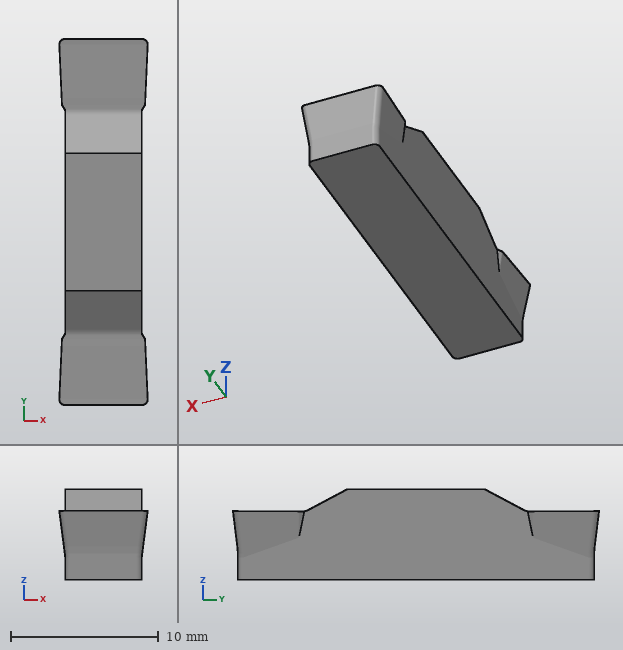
import cadquery as cq
import math

total_length = 24.81
total_height = 6.14
body_width = 5.2
corner_radius = 0.4

head_width = 6.0
rim_height = 4.68
side_relief = math.tan(math.radians(7.0))
side_back_taper = math.tan(math.radians(2.5))
front_relief = math.tan(math.radians(7.0))
lower_front_relief = math.tan(math.radians(4.8))
relief_break_height = 2.26
relief_end_height = 1.80
head_bottom_height = 1.51
flank_length = 4.48
shoulder_slope = 0.6
shoulder_radius = 0.15

land_width = 0.4
land_angle = math.radians(3.0)
rake_flat_end = 4.0
dip_end = 4.48
dip_angle = math.radians(2.0)
dip_blend_length = 0.025
valley_end = 4.73
ramp_start = 5.11
ramp_angle = math.radians(28.0)

match_tolerance = 0.001

half_length = total_length / 2
half_body = body_width / 2
half_head = head_width / 2
rake_height = rim_height - land_width * math.tan(land_angle)
valley_height = rake_height - (dip_end - rake_flat_end) * math.tan(dip_angle)
ramp_start_height = valley_height + (ramp_start - valley_end) * math.tan(ramp_angle / 2)
ramp_end = ramp_start + (total_height - ramp_start_height) / math.tan(ramp_angle)


def front_setback(height):
    """Distance of the front face behind the cutting edge at a given height."""
    upper_drop = rim_height - max(height, relief_break_height)
    lower_drop = relief_break_height - min(max(height, relief_end_height), relief_break_height)
    return upper_drop * front_relief + lower_drop * lower_front_relief


def flank_half_width(distance, height):
    """Half width across the two relieved flanks of a head."""
    inset = (distance - land_width) * side_back_taper + (rake_height - height) * side_relief
    return half_head - inset


def vertices_at(wire, distance):
    """Vertices of a head outline lying at a given distance from the cutting edge."""
    return [v for v in wire.Vertices() if abs(v.Y + half_length - distance) < match_tolerance]


def head_section(height):
    """Plan outline of the -Y head at one height, with rounded front corners and shoulders."""
    front = front_setback(height)
    front_half = flank_half_width(front, height)
    back_half = flank_half_width(flank_length, height)
    inner_half = half_body / 2
    inner = flank_length + (back_half - inner_half) / shoulder_slope
    right_side = [(front_half, front), (back_half, flank_length), (inner_half, inner)]
    left_side = [(-x, y) for x, y in reversed(right_side)]
    outline = [cq.Vector(x, y - half_length, height) for x, y in right_side + left_side]
    wire = cq.Wire.makePolygon(outline, close=True)
    wire = wire.fillet2D(corner_radius, vertices_at(wire, front))
    return wire.fillet2D(shoulder_radius, vertices_at(wire, flank_length))


def make_head():
    """The -Y head, left tall so that the top profile can trim it."""
    heights = [total_height, relief_break_height, relief_end_height, head_bottom_height]
    head = cq.Workplane("XY")
    for upper, lower in zip(heights, heights[1:]):
        slab = cq.Solid.makeLoft([head_section(upper), head_section(lower)], True)
        head = head.union(cq.Workplane(slab))
    return head


def make_body():
    """Prismatic shank with rounded vertical corners."""
    length = total_length - 2 * front_setback(0)
    body = cq.Workplane("XY").box(body_width, length, total_height, centered=(True, True, False))
    return body.edges("|Z").fillet(corner_radius)


def make_top_profile():
    """Everything below the top surface of one half, from the -Y end to the middle."""
    outer = -total_length
    blend_start = (
        dip_end - dip_blend_length * math.cos(dip_angle),
        valley_height + dip_blend_length * math.sin(dip_angle),
    )
    arc_middle_rise = math.tan(ramp_angle / 4)
    arc_radius = (ramp_start - valley_end) / math.sin(ramp_angle)
    arc_middle = valley_end + arc_radius * math.sin(ramp_angle / 2)
    arc_middle_height = valley_height + (arc_middle - valley_end) * arc_middle_rise
    profile = (
        cq.Workplane("YZ", origin=(-head_width, -half_length, 0))
        .moveTo(outer, 0)
        .lineTo(outer, rim_height)
        .lineTo(0, rim_height)
        .lineTo(land_width, rake_height)
        .lineTo(rake_flat_end, rake_height)
        .lineTo(*blend_start)
        .tangentArcPoint((dip_end + dip_blend_length, valley_height), relative=False)
        .lineTo(valley_end, valley_height)
        .threePointArc((arc_middle, arc_middle_height), (ramp_start, ramp_start_height))
        .lineTo(ramp_end, total_height)
        .lineTo(half_length, total_height)
        .lineTo(half_length, 0)
        .close()
    )
    return profile.extrude(2 * head_width)


def make_part():
    head = make_head()
    top_profile = make_top_profile()
    blank = make_body().union(head).union(head.mirror("XZ"))
    return blank.intersect(top_profile.union(top_profile.mirror("XZ"))).clean()


result = make_part()